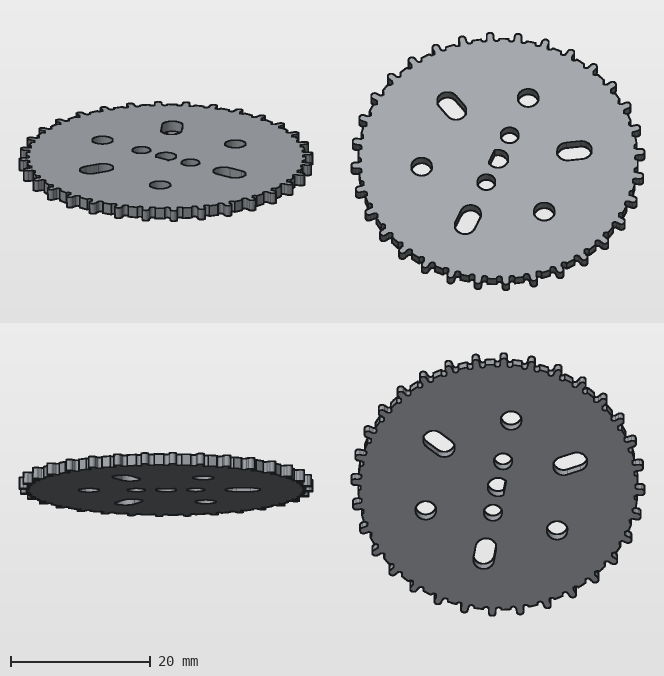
import cadquery as cq
import math

outer_diameter = 42.0
thickness = 1.6
tooth_count = 32
tooth_height = 1.0
tooth_width = 1.0
relief_radius = 0.4

bolt_circle_radius = 11.0
bolt_count = 3
bolt_diameter = 3.0
slot_length = 5.0
slot_start_angle = 30.0
hole_start_angle = slot_start_angle + 180 / bolt_count

bore_diameter = bolt_diameter
flat_distance = 1.0
bore_angle = 30.0
pin_count = 2
pin_diameter = 2.6
pin_offset = 4.25

outer_radius = outer_diameter / 2
root_radius = outer_radius - tooth_height


def at(direction, reach, side=0):
    """Point at a distance along a direction from the axis, then sideways to its left."""
    cosine = math.cos(math.radians(direction))
    sine = math.sin(math.radians(direction))
    return (reach * cosine - side * sine, reach * sine + side * cosine)


def ring_places(radius, count, start_angle):
    """Places around the axis whose local X points radially outwards."""
    return cq.Workplane("XY").polarArray(radius, start_angle, 360, count)


def make_toothed_disc():
    flank = tooth_width / 2
    tip_start = outer_radius - flank

    relief_side = flank + relief_radius
    relief_reach = math.sqrt(root_radius**2 - relief_side**2)
    relief_bottom = relief_reach - relief_radius

    relief_angle = math.degrees(math.asin(relief_side / root_radius))
    relief_span = math.degrees(2 * math.asin(relief_radius / (2 * root_radius)))
    notch_angle = relief_angle + relief_span

    pitch_angle = 360 / tooth_count
    outline = cq.Workplane("XY").moveTo(*at(-notch_angle, root_radius))
    for index in range(tooth_count):
        tooth = index * pitch_angle
        gap = tooth + pitch_angle / 2
        next_notch = tooth + pitch_angle - notch_angle
        outline = (
            outline.threePointArc(at(tooth, relief_bottom, -relief_side), at(tooth, relief_reach, -flank))
            .lineTo(*at(tooth, tip_start, -flank))
            .threePointArc(at(tooth, outer_radius), at(tooth, tip_start, flank))
            .lineTo(*at(tooth, relief_reach, flank))
            .threePointArc(at(tooth, relief_bottom, relief_side), at(tooth + notch_angle, root_radius))
            .threePointArc(at(gap, root_radius), at(next_notch, root_radius))
        )
    return outline.close().extrude(thickness)


def make_bore():
    bore_radius = bore_diameter / 2
    half_flat = math.sqrt(bore_radius**2 - flat_distance**2)
    return (
        cq.Workplane("XY")
        .moveTo(half_flat, -flat_distance)
        .threePointArc((0, bore_radius), (-half_flat, -flat_distance))
        .close()
        .extrude(thickness)
        .rotate((0, 0, 0), (0, 0, 1), bore_angle)
    )


def make_round_holes(ring_radius, count, start_angle, diameter):
    return ring_places(ring_radius, count, start_angle).circle(diameter / 2).extrude(thickness)


def make_slots():
    places = ring_places(bolt_circle_radius, bolt_count, slot_start_angle)
    return places.slot2D(slot_length, bolt_diameter).extrude(thickness)


bolt_holes = make_round_holes(bolt_circle_radius, bolt_count, hole_start_angle, bolt_diameter)
pin_holes = make_round_holes(pin_offset, pin_count, bore_angle, pin_diameter)

result = make_toothed_disc().cut(make_bore()).cut(pin_holes).cut(bolt_holes).cut(make_slots())